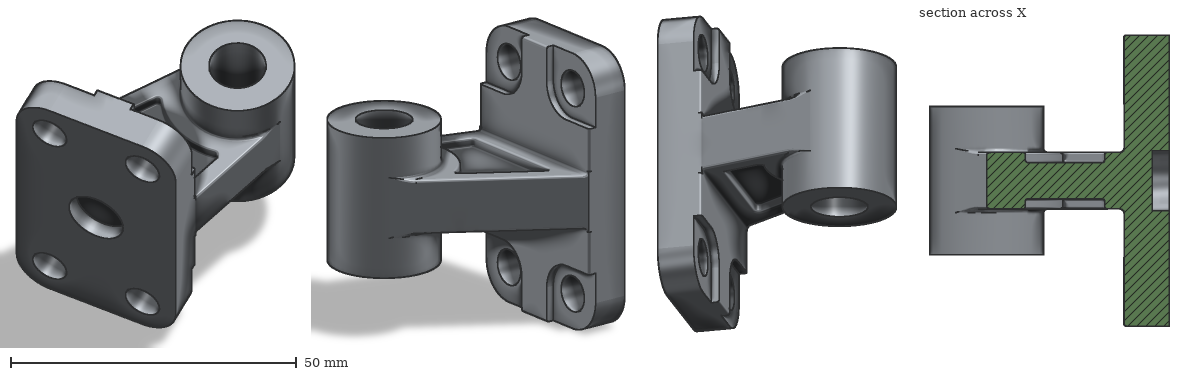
import cadquery as cq
import math

overall_width = 37.5
overall_depth = 42.0

plate_width = 31.0
plate_height = 51.0
plate_thickness = 8.0
corner_radius = 6.5
bolt_hole_diameter = 6.6
bolt_inset = corner_radius
edge_round = 0.5

seat_radius = 5.5
seat_depth = 1.5
seat_size = bolt_inset + seat_radius

locating_diameter = 10.5
locating_depth = 3.0

boss_diameter = 20.0
boss_radius = boss_diameter / 2
boss_bore = 10.0
boss_length = 26.0
boss_x = overall_width - boss_radius
boss_y = overall_depth - boss_radius

web_thickness = 10.0
web_half = web_thickness / 2
root_fillet = 0.6

pocket_margin = 3.35
pocket_depth = 1.8
pocket_corner_radius = 0.75
pocket_rim_round = 0.5
pocket_floor_round = 0.4


def tangent_point(x, y, side):
    """Point where a line from (x, y) touches the boss; side is +1 for left, -1 for right."""
    reach = math.hypot(x - boss_x, y - boss_y)
    toward_start = math.atan2(y - boss_y, x - boss_x)
    angle = toward_start - side * math.acos(boss_radius / reach)
    return (boss_x + boss_radius * math.cos(angle), boss_y + boss_radius * math.sin(angle))


web_outline = [
    (0, plate_thickness),
    tangent_point(0, plate_thickness, 1),
    tangent_point(plate_width, plate_thickness, -1),
    (plate_width, plate_thickness),
]


def slab(outline, z_low, z_high):
    """Flat block with the given XY outline between two heights."""
    return cq.Workplane("XY").workplane(offset=z_low).polyline(outline).close().extrude(z_high - z_low)


def make_plate():
    """Plate whose rear rim is rounded everywhere except where the web lands on it."""
    square_edged = (
        cq.Workplane("XY")
        .box(plate_width, plate_thickness, plate_height, centered=(False, False, True))
        .edges("|Y")
        .fillet(corner_radius)
    )
    rounded = square_edged.faces(">Y").edges().fillet(edge_round)
    landing_height = web_thickness + 2 * root_fillet
    web_landing = cq.Workplane("XY").box(2 * plate_width, 2 * plate_thickness, landing_height)
    return rounded.union(square_edged.intersect(web_landing))


def make_root_fillets():
    """Concave fillets where the upper face of the web meets the boss and the plate."""
    boss_ring = (
        cq.Workplane("XZ", origin=(boss_x, boss_y, 0))
        .moveTo(boss_radius - root_fillet, web_half)
        .lineTo(boss_radius + root_fillet, web_half)
        .radiusArc((boss_radius, web_half + root_fillet), root_fillet)
        .lineTo(boss_radius - root_fillet, web_half + root_fillet)
        .close()
        .revolve(360, (0, 0, 0), (0, 1, 0))
    )
    plate_strip = (
        cq.Workplane("YZ")
        .moveTo(plate_thickness, web_half)
        .lineTo(plate_thickness + root_fillet, web_half)
        .radiusArc((plate_thickness, web_half + root_fillet), root_fillet)
        .close()
        .extrude(2 * plate_width)
    )
    limit = slab(web_outline, 0, plate_height / 2)
    return boss_ring.union(plate_strip).intersect(limit)


def round_web_rims(body):
    """Round the rims of the two sloping side faces, including the ends of the root fillets."""
    left_corner, left_tangent, right_tangent, right_corner = web_outline
    rims = []
    for corner, tangent in ((left_corner, left_tangent), (right_corner, right_tangent)):
        middle = ((corner[0] + tangent[0]) / 2, (corner[1] + tangent[1]) / 2, 0)
        side_face = body.faces(cq.selectors.NearestToPointSelector(middle))
        rims += side_face.edges("not |Z").vals()
    return body.newObject([body.val().fillet(edge_round, rims)])


def make_pocket():
    """Cutter for the pocket in the upper face of the web."""
    floor = web_half - pocket_depth
    cutter = (
        cq.Workplane("XY")
        .workplane(offset=floor)
        .polyline(web_outline)
        .close()
        .offset2D(-pocket_margin)
        .extrude(pocket_depth)
    )
    clearance = cq.Workplane("XY", origin=(boss_x, boss_y, 0)).circle(boss_radius + pocket_margin)
    cutter = cutter.cut(clearance.extrude(plate_height))
    cutter = cutter.edges("|Z").fillet(pocket_corner_radius)
    return cutter.faces("<Z").edges().fillet(pocket_floor_round)


def make_web():
    """Web with a rounded pocket in each face, without root fillets."""
    pocket = make_pocket()
    web = slab(web_outline, -web_half, web_half).cut(pocket).cut(pocket.mirror("XY"))
    for face in ("<Z", ">Z"):
        mouth = web.faces(face).val().innerWires()[0]
        web = web.newObject([web.val().fillet(pocket_rim_round, mouth.Edges())])
    return web


def make_bolt_cutters():
    """Bolt holes with rounded square recesses that open through the plate corners."""
    pitch_x = plate_width - 2 * bolt_inset
    pitch_z = plate_height - 2 * bolt_inset
    holes = (
        cq.Workplane("XZ", origin=(plate_width / 2, 0, 0))
        .rect(pitch_x, pitch_z, forConstruction=True)
        .vertices()
        .circle(bolt_hole_diameter / 2)
        .extrude(-plate_thickness)
    )
    seats = (
        cq.Workplane("XZ", origin=(plate_width / 2, plate_thickness - seat_depth, 0))
        .rect(plate_width, plate_height, forConstruction=True)
        .vertices()
        .rect(2 * seat_size, 2 * seat_size)
        .extrude(-seat_depth)
        .edges("|Y")
        .fillet(seat_radius)
    )
    return holes.union(seats)


root = make_root_fillets()
body = make_web().union(root).union(root.mirror("XY"))
body = round_web_rims(body)
body = body.union(make_plate())

boss = cq.Workplane("XY", origin=(boss_x, boss_y, -boss_length / 2))
body = body.union(boss.circle(boss_radius).extrude(boss_length))
body = body.cut(boss.circle(boss_bore / 2).extrude(boss_length))

locating_bore = cq.Workplane("XZ", origin=(plate_width / 2, 0, 0)).circle(locating_diameter / 2)
body = body.cut(make_bolt_cutters()).cut(locating_bore.extrude(-locating_depth))
result = body.solids()